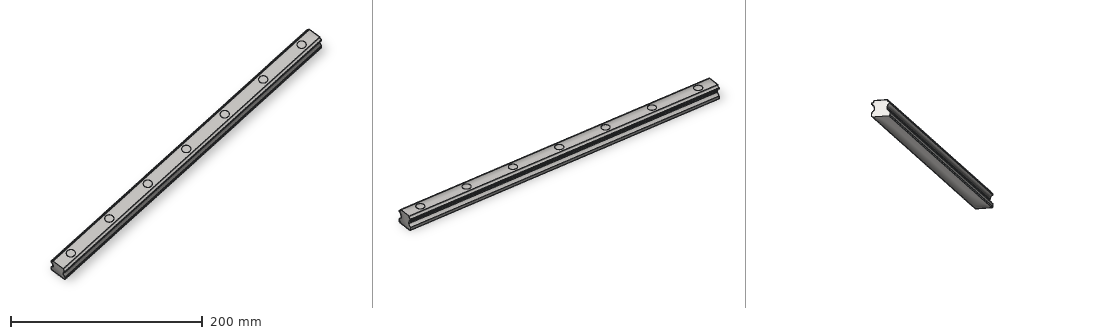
import cadquery as cq

length = 400
width = 20
height = 17.5

top_width = 15.0
neck_width = 13.5

base_chamfer = 1.0
flange_side_top = 3.5
flange_bevel_width = 0.2
flange_bevel_height = 1.0
neck_bottom = 7.5

neck_top = 9.0
lower_groove_start = 11.0

lip_bottom = 13.5
lip_top = 15.0
lip_edge_break = 0.2
groove_sag = 0.6

top_wall_height = 1.0

hole_count = 7
hole_pitch = 60
hole_diameter = 9.5
cap_recess = 0.1

half_width = width / 2
half_top = top_width / 2
half_neck = neck_width / 2


def half_profile():
    """Right half of the rail section, closed along the centre line."""
    return (
        cq.Workplane("XZ")
        .lineTo(half_width - base_chamfer, 0)
        .lineTo(half_width, base_chamfer)
        .lineTo(half_width, flange_side_top)
        .lineTo(half_width - flange_bevel_width, flange_side_top + flange_bevel_height)
        .lineTo(half_neck, neck_bottom)
        .lineTo(half_neck, neck_top)
        .lineTo(half_top, lower_groove_start)
        .sagittaArc((half_width, lip_bottom), groove_sag)
        .lineTo(half_width, lip_top)
        .lineTo(half_width - lip_edge_break, lip_top + lip_edge_break)
        .sagittaArc((half_top, height - top_wall_height), groove_sag)
        .lineTo(half_top, height)
        .lineTo(0, height)
        .close()
    )


def make_rail():
    """Both mirrored halves of the section, extruded about the middle of the length."""
    half = half_profile().extrude(length / 2, both=True)
    return half.union(half.mirror("YZ")).clean()


def make_cap_recesses():
    """Shallow discs where the hole caps sit just below the top face."""
    return (
        cq.Workplane("XY", origin=(0, 0, height - cap_recess))
        .rarray(4, hole_pitch, 1, hole_count)
        .circle(hole_diameter / 2)
        .extrude(cap_recess)
    )


result = make_rail().cut(make_cap_recesses())